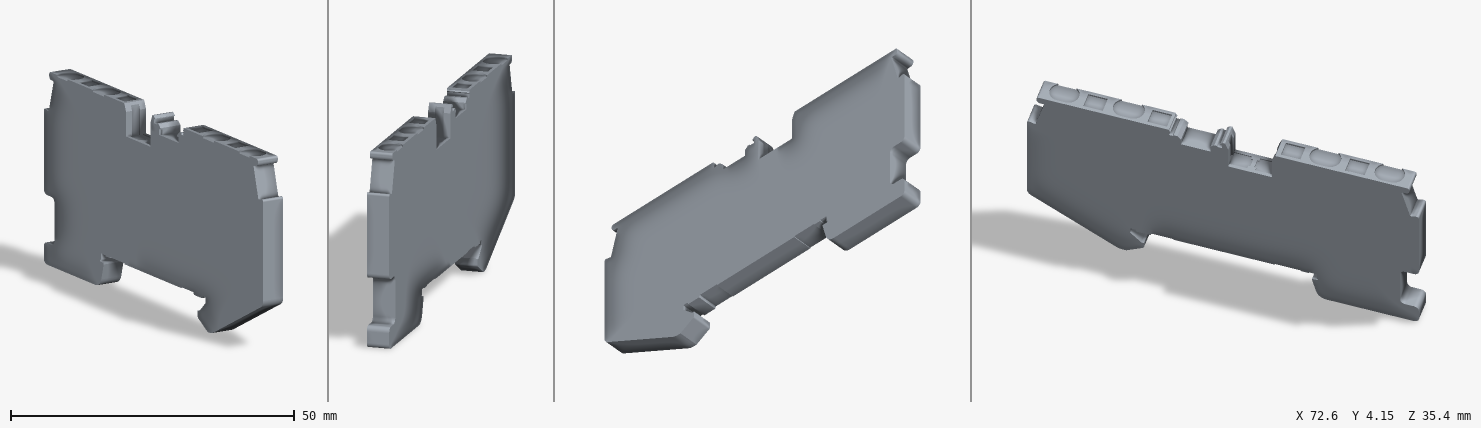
import cadquery as cq

LENGTH = 72.6
THICKNESS = 4.15
HEIGHT = 35.4
RIGHT = LENGTH / 2
TOP = HEIGHT / 2
BOTTOM = -TOP
FRONT = -THICKNESS / 2
OUTSIDE = 2.0

LIP_END_X = 34.54
LIP_THICKNESS = 1.4
LIP_TOP_ROUND = 0.42
LIP_BOTTOM_ROUND = 0.7
NECK_ROUND = 0.2
NECK_TOP_X = 33.05
NECK_BOTTOM_X = 34.7
SHOULDER_Z = 10.65
SHOULDER_GROOVE_DEPTH = 0.22
SHOULDER_GROOVE_FLAT = 0.3
SHOULDER_GROOVE_END_X = 35.8
SHOULDER_ROUND = 0.4

RECESS_DEPTH = 3.5
RECESS_TOP_Z = -5.0
RECESS_BOTTOM_Z = -13.7
LEFT_END_ROUND = 0.95

SLOPE_TOP_Z = -8.7
SLOPE_BOTTOM_X = 19.2
SLOPE_TOP_ROUND = 1.5
SLOPE_BOTTOM_ROUND = 3.0

SLOT_LEFT_X = -9.1
SLOT_RIGHT_X = -0.99
SLOT_FLOOR_Z = 11.75
FLARE_START_Z = 16.25
FLARE_WIDTH = 0.6

HOOK_TOP_X = 0.0
HOOK_TIP_X = 0.5
HOOK_TIP_Z = 17.25
HOOK_UNDERSIDE_Z = 17.1
HOOK_NECK_X = 0.15
SEAT_RIGHT_X = 9.98
SEAT_GROOVE_Z = 16.3
SEAT_LAND_Z = 16.55
SEAT_GROOVE_WIDTH = 0.85
SEAT_RAMP_WIDTH = 0.2
BARB_REACH = 0.25
BARB_Z = 17.2
BARB_HALF_HEIGHT = 0.2
SEAT_WELL_LEFT_X = 2.3
SEAT_WELL_RIGHT_X = 7.75
SEAT_WELL_EDGE_Z = 15.9
SEAT_WELL_FLOOR_Z = 14.6
SEAT_BEVEL_WIDTH = 0.7
FRONT_NOTCH_WIDTH = 0.45
FRONT_NOTCH_HEIGHT = 1.05
FRONT_NOTCH_DEPTH = 0.4

RAIL_CEILING_Z = -11.52
RAIL_PANEL_DROP = 0.18
RAIL_LEFT_X = -17.4
RAIL_RIGHT_X = 17.2
LEFT_PAD_START_X = -15.9
LEFT_PAD_END_X = -14.45
PANEL_START_X = -9.6
PANEL_END_X = 9.1
RIGHT_PAD_START_X = 13.2
RIGHT_PAD_END_X = 16.0
RIGHT_PAD_DROP = 0.45
RIGHT_PAD_RAMP = 0.2
FOOT_TOP_Z = -13.05
FOOT_TIP_X = -16.5
FOOT_TIP_HEIGHT = 0.3
FOOT_BOTTOM_X = -17.7
FOOT_ROUND = 2.0
FOOT_UNDERCUT = 0.25
FOOT_UNDERCUT_HEIGHT = 0.35
CLAW_WALL_END_Z = -12.6
CLAW_SHELF_X = 15.1
CLAW_TIP_X = 14.6
CLAW_TOP_Z = -14.55
CLAW_TIP_END_Z = -15.8
CLAW_BOTTOM_X = 17.9
CLAW_ROUND = 0.5

TOP_POCKET_DEPTH = 0.35
OVAL_WIDTH = 3.95
OVAL_CENTRE_Y = -0.35
OVALS = ((30.13, 5.4), (18.2, 5.7))
SQUARE_LENGTH = 3.6
SQUARE_WIDTH = 2.9
SQUARE_CENTRES_X = (24.25, 12.35)

OPENING_LENGTH = 3.3
OPENING_WIDTH = 2.85
OPENING_BAND_WIDTH = 1.65
OPENING_BAND_REACH = 0.38
OPENING_DEPTH = 0.2


def prism(points):
    """Full-thickness prism from a closed (x, z) outline."""
    return cq.Workplane("XZ").polyline(points).close().extrude(THICKNESS / 2, both=True)


def block(x_range, y_range, z_range):
    """Box spanning the given ranges."""
    ranges = (x_range, y_range, z_range)
    sizes = [high - low for low, high in ranges]
    centre = tuple((low + high) / 2 for low, high in ranges)
    return cq.Workplane("XY").box(*sizes).translate(centre)


def round_corner(body, x, z, radius):
    """Fillet the thickness-wise edge that stands at (x, z)."""
    reach = 0.02
    corner = cq.selectors.BoxSelector(
        (x - reach, -THICKNESS, z - reach),
        (x + reach, THICKNESS, z + reach),
    )
    return body.edges("|Y").edges(corner).fillet(radius)


def make_plate():
    """Blank plate with the sloping lower right corner."""
    plate = prism([
        (-RIGHT, TOP),
        (RIGHT, TOP),
        (RIGHT, SLOPE_TOP_Z),
        (SLOPE_BOTTOM_X, BOTTOM),
        (-RIGHT, BOTTOM),
    ])
    plate = round_corner(plate, RIGHT, SLOPE_TOP_Z, SLOPE_TOP_ROUND)
    return round_corner(plate, SLOPE_BOTTOM_X, BOTTOM, SLOPE_BOTTOM_ROUND)


def cut_shoulders(body):
    """Cut both upper ends back to a slanted neck under a rounded lip."""
    lip_bottom_z = TOP - LIP_THICKNESS
    groove_z = SHOULDER_Z - SHOULDER_GROOVE_DEPTH
    cutter = prism([
        (RIGHT + OUTSIDE, TOP + OUTSIDE),
        (LIP_END_X, TOP + OUTSIDE),
        (LIP_END_X, lip_bottom_z),
        (NECK_TOP_X, lip_bottom_z),
        (NECK_BOTTOM_X, groove_z),
        (NECK_BOTTOM_X + SHOULDER_GROOVE_FLAT, groove_z),
        (SHOULDER_GROOVE_END_X, SHOULDER_Z),
        (RIGHT + OUTSIDE, SHOULDER_Z),
    ])
    body = body.cut(cutter).cut(cutter.mirror("YZ"))
    for side in (-1, 1):
        body = round_corner(body, side * LIP_END_X, TOP, LIP_TOP_ROUND)
        body = round_corner(body, side * LIP_END_X, lip_bottom_z, LIP_BOTTOM_ROUND)
        body = round_corner(body, side * NECK_TOP_X, lip_bottom_z, NECK_ROUND)
        body = round_corner(body, side * RIGHT, SHOULDER_Z, SHOULDER_ROUND)
    return body


def cut_side_recess(body):
    """Cut the rectangular recess into the left end and round its corners."""
    inner_x = -RIGHT + RECESS_DEPTH
    body = body.cut(block(
        (-RIGHT - OUTSIDE, inner_x),
        (-THICKNESS, THICKNESS),
        (RECESS_BOTTOM_Z, RECESS_TOP_Z),
    ))
    for z in (RECESS_TOP_Z, RECESS_BOTTOM_Z):
        body = round_corner(body, inner_x, z, LEFT_END_ROUND)
        body = round_corner(body, -RIGHT, z, LEFT_END_ROUND)
    return round_corner(body, -RIGHT, BOTTOM, LEFT_END_ROUND)


def cut_bridge_slot(body):
    """Cut the deep slot whose mouth flares outward at the top edge."""
    return body.cut(prism([
        (SLOT_LEFT_X, SLOT_FLOOR_Z),
        (SLOT_RIGHT_X, SLOT_FLOOR_Z),
        (SLOT_RIGHT_X, FLARE_START_Z),
        (SLOT_RIGHT_X + FLARE_WIDTH, TOP),
        (SLOT_LEFT_X - FLARE_WIDTH, TOP),
        (SLOT_LEFT_X, FLARE_START_Z),
    ]))


def cut_marker_seat(body):
    """Cut the stepped seat between the latch hook and the right-hand block."""
    left_groove_end_x = HOOK_NECK_X + SEAT_GROOVE_WIDTH
    right_groove_end_x = SEAT_RIGHT_X - SEAT_GROOVE_WIDTH + SEAT_RAMP_WIDTH
    return body.cut(prism([
        (HOOK_TOP_X, TOP),
        (HOOK_TIP_X, HOOK_TIP_Z),
        (HOOK_TIP_X, HOOK_UNDERSIDE_Z),
        (HOOK_NECK_X, HOOK_UNDERSIDE_Z),
        (HOOK_NECK_X, SEAT_GROOVE_Z),
        (left_groove_end_x, SEAT_GROOVE_Z),
        (left_groove_end_x + SEAT_RAMP_WIDTH, SEAT_LAND_Z),
        (SEAT_WELL_LEFT_X - SEAT_BEVEL_WIDTH, SEAT_LAND_Z),
        (SEAT_WELL_LEFT_X, SEAT_WELL_EDGE_Z),
        (SEAT_WELL_LEFT_X, SEAT_WELL_FLOOR_Z),
        (SEAT_WELL_RIGHT_X, SEAT_WELL_FLOOR_Z),
        (SEAT_WELL_RIGHT_X, SEAT_WELL_EDGE_Z),
        (SEAT_WELL_RIGHT_X + SEAT_BEVEL_WIDTH, SEAT_LAND_Z),
        (right_groove_end_x - SEAT_RAMP_WIDTH, SEAT_LAND_Z),
        (right_groove_end_x, SEAT_GROOVE_Z),
        (SEAT_RIGHT_X, SEAT_GROOVE_Z),
        (SEAT_RIGHT_X, BARB_Z - BARB_HALF_HEIGHT),
        (SEAT_RIGHT_X - BARB_REACH, BARB_Z),
        (SEAT_RIGHT_X, BARB_Z + BARB_HALF_HEIGHT),
        (SEAT_RIGHT_X, TOP),
    ]))


def cut_front_notches(body):
    """Widen the seat well on both sides with a blind notch in the front face."""
    return body.cut(block(
        (SEAT_WELL_LEFT_X - FRONT_NOTCH_WIDTH, SEAT_WELL_RIGHT_X + FRONT_NOTCH_WIDTH),
        (FRONT - OUTSIDE, FRONT + FRONT_NOTCH_DEPTH),
        (SEAT_WELL_FLOOR_Z, SEAT_WELL_FLOOR_Z + FRONT_NOTCH_HEIGHT),
    ))


def cut_rail_recess(body):
    """Cut the mounting rail recess, leaving the left foot and the right claw."""
    panel_z = RAIL_CEILING_Z - RAIL_PANEL_DROP
    right_pad_z = RAIL_CEILING_Z - RIGHT_PAD_DROP
    undercut_x = RAIL_LEFT_X - FOOT_UNDERCUT
    undercut_z = FOOT_TOP_Z + FOOT_UNDERCUT_HEIGHT
    body = body.cut(prism([
        (FOOT_BOTTOM_X, BOTTOM),
        (FOOT_TIP_X, FOOT_TOP_Z - FOOT_TIP_HEIGHT),
        (FOOT_TIP_X, FOOT_TOP_Z),
        (undercut_x, FOOT_TOP_Z),
        (undercut_x, undercut_z),
        (RAIL_LEFT_X, undercut_z),
        (RAIL_LEFT_X, RAIL_CEILING_Z),
        (LEFT_PAD_START_X, RAIL_CEILING_Z),
        (LEFT_PAD_START_X, panel_z),
        (LEFT_PAD_END_X, panel_z),
        (LEFT_PAD_END_X, RAIL_CEILING_Z),
        (PANEL_START_X, RAIL_CEILING_Z),
        (PANEL_START_X, panel_z),
        (PANEL_END_X, panel_z),
        (PANEL_END_X, RAIL_CEILING_Z),
        (RIGHT_PAD_START_X, RAIL_CEILING_Z),
        (RIGHT_PAD_START_X + RIGHT_PAD_RAMP, right_pad_z),
        (RIGHT_PAD_END_X, right_pad_z),
        (RIGHT_PAD_END_X + RIGHT_PAD_RAMP, RAIL_CEILING_Z),
        (RAIL_RIGHT_X, RAIL_CEILING_Z),
        (RAIL_RIGHT_X, CLAW_WALL_END_Z),
        (CLAW_SHELF_X, CLAW_TOP_Z),
        (CLAW_TIP_X, CLAW_TOP_Z),
        (CLAW_TIP_X, CLAW_TIP_END_Z),
        (CLAW_BOTTOM_X, BOTTOM),
    ]))
    body = round_corner(body, FOOT_BOTTOM_X, BOTTOM, FOOT_ROUND)
    return round_corner(body, CLAW_TIP_X, CLAW_TIP_END_Z, CLAW_ROUND)


def cut_top_pockets(body):
    """Sink the oval and square pockets into the top edge on both halves."""
    for side in (-1, 1):
        for centre_x, length in OVALS:
            oval = (
                cq.Workplane("XY", origin=(side * centre_x, OVAL_CENTRE_Y, TOP))
                .slot2D(length, OVAL_WIDTH)
                .extrude(-TOP_POCKET_DEPTH)
            )
            body = body.cut(oval)
        for centre_x in SQUARE_CENTRES_X:
            square = (
                cq.Workplane("XY", origin=(side * centre_x, 0, TOP))
                .rect(SQUARE_LENGTH, SQUARE_WIDTH)
                .extrude(-TOP_POCKET_DEPTH)
            )
            body = body.cut(square)
    return body


def cut_slot_openings(body):
    """Sink a cross-shaped opening at each end of the slot floor.

    The narrow band of each cross also grooves the slot wall beside it.
    """
    floor_range = (SLOT_FLOOR_Z - OPENING_DEPTH, SLOT_FLOOR_Z)
    groove_range = (SLOT_FLOOR_Z - OPENING_DEPTH, TOP + OUTSIDE)
    half_width = OPENING_WIDTH / 2
    half_band = OPENING_BAND_WIDTH / 2
    for start_x in (SLOT_LEFT_X, SLOT_RIGHT_X - OPENING_LENGTH):
        end_x = start_x + OPENING_LENGTH
        main = block((start_x, end_x), (-half_width, half_width), floor_range)
        band = block(
            (start_x - OPENING_BAND_REACH, end_x + OPENING_BAND_REACH),
            (-half_band, half_band),
            groove_range,
        )
        body = body.cut(main).cut(band)
    return body


result = make_plate()
result = cut_shoulders(result)
result = cut_side_recess(result)
result = cut_bridge_slot(result)
result = cut_marker_seat(result)
result = cut_front_notches(result)
result = cut_rail_recess(result)
result = cut_top_pockets(result)
result = cut_slot_openings(result)